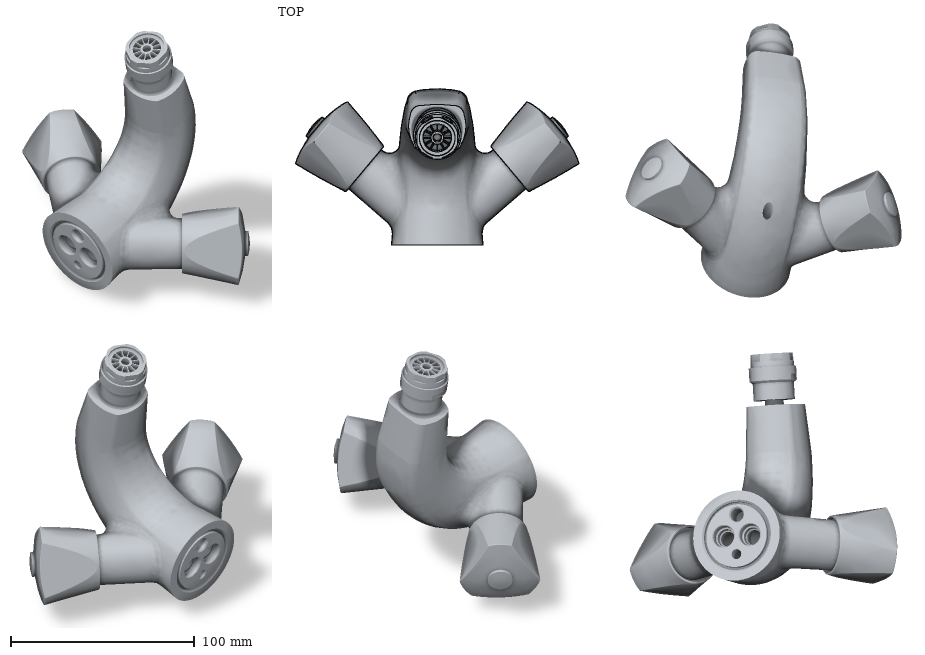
import cadquery as cq
import math

BASE_RADIUS = 25.0
BASE_LENGTH = 18.2
BEND_START_RADIUS = 23.4
BEND_RADIUS = 50.0
BEND_ANGLE = 100.0
BEND_STEPS = 5
BEND_END_SIZE = (17.4, 16.0)
TIP_SIZE = (15.7, 13.7)
TIP_LENGTH = 25.7
SPOUT_OUTLINE = [
    (0.0, 1.0), (0.36, 0.95), (0.70, 0.80),
    (0.77, 0.74), (0.82, 0.64),
    (0.99, -0.06), (0.93, -0.60),
    (0.83, -0.84), (0.67, -0.95),
    (0.34, -0.99), (0.0, -1.0),
]
ROUND_ANGLES = [0, 22, 44, 46, 48, 90, 132, 134, 136, 158, 180]

ARM_ANGLE = 40.0
ARM_START_Y = 8.3
ARM_START = 15.4
ARM_LENGTH = 36.0
ARM_INSERT = 6.2
ARM_ROOT_RADIUS = 14.5
ARM_END_RADIUS = 13.7
ARM_BLEND = 7.0
ARM_SEAM_X = (18.2, 24.6)
ARM_SEAM_Y = (1.5, 37.0)
KNOB_BACK_RADIUS = 16.2
KNOB_RIM_RADIUS = 22.6
KNOB_RIM_HEIGHT = 30.8
KNOB_CROWN_HEIGHT = 34.8
KNOB_FLAT_DISTANCE = 16.5
KNOB_FLAT_ANGLES = (30, 150, 270)
KNOB_EDGE_ROUND = 0.5
KNOB_RECESS_RADIUS = 15.1
KNOB_RECESS_DEPTH = 2.3
BUTTON_RADIUS = 6.8
BUTTON_EDGE_HEIGHT = 36.0
BUTTON_CROWN_HEIGHT = 37.0

GROOVE_INNER_RADIUS = 17.4
GROOVE_OUTER_RADIUS = 19.0
GROOVE_DEPTH = 2.3
GROOVE_CHAMFER = 1.0
INLET_X = 7.5
INLET_MOUTH_RADIUS = 6.0
INLET_MOUTH_DEPTH = 4.6
INLET_STEP_RADIUS = 5.0
INLET_STEP_DEPTH = 7.7
INLET_CHAMFER = 0.5
INLET_RADIUS = 4.0
PASSAGE_RADIUS = 4.6
PASSAGE_START = 6.2
PASSAGE_END = 46.2
SCREW_Z = 11.5
SCREW_RADIUS = 3.7
SCREW_DEPTH = 10.8
SCREW_CHAMFER = 0.8
SCREW_POINT_DEPTH = 2.2
VENT_Z = -10.3
VENT_RADIUS = 2.8

TIP_RECESS_RADIUS = 11.9
TIP_RECESS_DEPTH = 0.5
STUB_RADIUS = 5.1
AERATOR_BOTTOM = 3.1
AERATOR_RADIUS = 11.2
COLLAR_BOTTOM = 12.3
COLLAR_CHAMFER = 1.2
COLLAR_TOP = 21.0
COLLAR_RADIUS = 13.0
COLLAR_FLAT_DISTANCE = 12.0
COLLAR_FLAT_TOP = 16.8
CROWN_BASE_RADIUS = 12.0
AERATOR_TOP = 28.2
CROWN_TOP_RADIUS = 11.5
NOTCH_COUNT = 6
NOTCH_WIDTH = 6.5
NOTCH_HEIGHT = 4.0
NOTCH_FLOOR_DISTANCE = 11.0
OUTLET_RADIUS = 9.7
OUTLET_DEPTH = 1.2
GRILLE_OUTER_RADIUS = 7.7
GRILLE_DEPTH = 4.6
HUB_RADIUS = 3.5
HUB_BORE_RADIUS = 2.3
RIB_COUNT = 12
RIB_WIDTH = 0.5

tip_tilt = math.radians(BEND_ANGLE)
spout_axis = cq.Vector(0, math.cos(tip_tilt), math.sin(tip_tilt))


def bend_frame(angle):
    """Point on the centre line at an angle round the bend, and the direction to the bend centre."""
    a = math.radians(angle)
    inward = cq.Vector(0, -math.sin(a), math.cos(a))
    centre = cq.Vector(0, BASE_LENGTH, BEND_RADIUS) - inward * BEND_RADIUS
    return centre, inward


def section(centre, inward, half_width, half_depth, shaping):
    """Closed outline of eight arcs, from an ellipse (shaping 0) to the spout outline (1)."""
    right = []
    for angle, (x, y) in zip(ROUND_ANGLES, SPOUT_OUTLINE):
        a = math.radians(angle)
        right.append((
            half_width * (math.sin(a) * (1 - shaping) + x * shaping),
            half_depth * (math.cos(a) * (1 - shaping) + y * shaping),
        ))
    left = [(-x, y) for x, y in reversed(right[:-1])]
    points = [centre + cq.Vector(x, 0, 0) + inward * y for x, y in right + left]
    inner_face = [points[18], points[0], points[2]]
    back_face = [points[8], points[10], points[12]]
    right_arcs = [points[2:5], points[4:7], points[6:9]]
    left_arcs = [points[12:15], points[14:17], points[16:19]]
    arcs = [inner_face, *right_arcs, back_face, *left_arcs]
    return cq.Wire.assembleEdges([cq.Edge.makeThreePointArc(*arc) for arc in arcs])


def make_body():
    bend = []
    for step in range(BEND_STEPS + 1):
        part = step / BEND_STEPS
        half_width = BEND_START_RADIUS + (BEND_END_SIZE[0] - BEND_START_RADIUS) * part
        half_depth = BEND_START_RADIUS + (BEND_END_SIZE[1] - BEND_START_RADIUS) * part
        bend.append(section(*bend_frame(BEND_ANGLE * part), half_width, half_depth, part))
    base = section(cq.Vector(0, 0, 0), cq.Vector(0, 0, 1), BASE_RADIUS, BASE_RADIUS, 0)
    bend_end, inward = bend_frame(BEND_ANGLE)
    tip = section(bend_end + spout_axis * TIP_LENGTH, inward, *TIP_SIZE, 1)
    socket = cq.Solid.makeLoft([base, bend[0]], True)
    elbow = cq.Solid.makeLoft(bend)
    spout = cq.Solid.makeLoft([bend[-1], tip], True)
    return cq.Workplane(socket).union(cq.Workplane(elbow)).union(cq.Workplane(spout))


def arm_plane(distance):
    """Plane across the right arm, X horizontal and Z outwards, at a distance along its axis."""
    a = math.radians(ARM_ANGLE)
    axis = cq.Vector(math.cos(a), math.sin(a), 0)
    across = cq.Vector(-math.sin(a), math.cos(a), 0)
    return cq.Plane(cq.Vector(0, ARM_START_Y, 0) + axis * distance, across, axis)


def tip_plane():
    """Plane of the spout tip face, Z outwards along the spout axis."""
    return cq.Plane(bend_frame(BEND_ANGLE)[0] + spout_axis * TIP_LENGTH, (1, 0, 0), spout_axis)


def placed(part, plane):
    return part.newObject([part.val().moved(cq.Location(plane))])


def turned(profile):
    """Turn a closed (radius, height) profile about the Z axis."""
    return cq.Workplane("XZ").polyline(profile).close().revolve(360, (0, 0, 0), (0, 1, 0))


def ring(outer_radius, inner_radius, bottom, top):
    disc = cq.Workplane("XY").workplane(offset=bottom).circle(outer_radius)
    return disc.circle(inner_radius).extrude(top - bottom)


def rod(radius, bottom, top):
    return cq.Workplane("XY").workplane(offset=bottom).circle(radius).extrude(top - bottom)


def both_sides(part):
    return part.union(part.mirror("YZ"))


def make_arm():
    full_length = ARM_LENGTH + ARM_INSERT
    arm = turned([
        (0, 0), (ARM_ROOT_RADIUS, 0), (ARM_END_RADIUS, full_length), (0, full_length),
    ])
    return placed(arm, arm_plane(ARM_START))


def blend_arms(body):
    """Round the seams between the arms and the body."""
    near, far = ARM_SEAM_X
    front, back = ARM_SEAM_Y
    for start, end in ((near, far), (-far, -near)):
        seam_zone = cq.selectors.BoxSelector(
            (start, front, -ARM_END_RADIUS), (end, back, ARM_END_RADIUS)
        )
        body = body.edges(seam_zone).fillet(ARM_BLEND)
    return body


def domed(bottom_radius, rim_radius, rim_height, crown_height):
    """Cone or cylinder standing on Z = 0, closed by a spherical dome."""
    rise = crown_height - rim_height
    dome_radius = (rim_radius ** 2 + rise ** 2) / (2 * rise)
    halfway = rim_radius / 2
    halfway_height = crown_height - dome_radius + math.sqrt(dome_radius ** 2 - halfway ** 2)
    return (
        cq.Workplane("XZ")
        .lineTo(bottom_radius, 0)
        .lineTo(rim_radius, rim_height)
        .threePointArc((halfway, halfway_height), (0, crown_height))
        .close()
        .revolve(360, (0, 0, 0), (0, 1, 0))
    )


def make_knob():
    knob = domed(KNOB_BACK_RADIUS, KNOB_RIM_RADIUS, KNOB_RIM_HEIGHT, KNOB_CROWN_HEIGHT)
    size = 4 * KNOB_RIM_RADIUS
    for angle in KNOB_FLAT_ANGLES:
        waste = cq.Workplane("XY").box(size, size, size)
        waste = waste.translate((KNOB_FLAT_DISTANCE + size / 2, 0, 0))
        knob = knob.cut(waste.rotate((0, 0, 0), (0, 0, 1), angle))
    knob = knob.edges("not %LINE").fillet(KNOB_EDGE_ROUND)
    knob = knob.cut(ring(KNOB_RECESS_RADIUS, ARM_END_RADIUS, 0, KNOB_RECESS_DEPTH))
    button = domed(BUTTON_RADIUS, BUTTON_RADIUS, BUTTON_EDGE_HEIGHT, BUTTON_CROWN_HEIGHT)
    return placed(knob.union(button), arm_plane(ARM_START + ARM_LENGTH))


def drilled(x, z, profile):
    """Turned cutter entering the base face at (x, z), its height running along +Y."""
    return placed(turned(profile), cq.Plane((x, 0, z), (1, 0, 0), (0, 1, 0)))


def make_inlet():
    """Stepped and chamfered inlet hole that meets the passage along the right arm."""
    cross_depth = ARM_START_Y + INLET_X * math.tan(math.radians(ARM_ANGLE))
    hole = drilled(INLET_X, 0, [
        (0, 0), (INLET_MOUTH_RADIUS + INLET_CHAMFER, 0), (INLET_MOUTH_RADIUS, INLET_CHAMFER),
        (INLET_MOUTH_RADIUS, INLET_MOUTH_DEPTH), (INLET_STEP_RADIUS, INLET_MOUTH_DEPTH),
        (INLET_STEP_RADIUS, INLET_STEP_DEPTH), (INLET_RADIUS, INLET_STEP_DEPTH),
        (INLET_RADIUS, cross_depth), (0, cross_depth),
    ])
    return hole.union(placed(rod(PASSAGE_RADIUS, PASSAGE_START, PASSAGE_END), arm_plane(0)))


def cut_base_details(body):
    groove = drilled(0, 0, [
        (GROOVE_INNER_RADIUS, 0), (GROOVE_OUTER_RADIUS + GROOVE_CHAMFER, 0),
        (GROOVE_OUTER_RADIUS, GROOVE_CHAMFER), (GROOVE_OUTER_RADIUS, GROOVE_DEPTH),
        (GROOVE_INNER_RADIUS, GROOVE_DEPTH),
    ])
    screw_hole = drilled(0, SCREW_Z, [
        (0, 0), (SCREW_RADIUS + SCREW_CHAMFER, 0), (SCREW_RADIUS, SCREW_CHAMFER),
        (SCREW_RADIUS, SCREW_DEPTH), (0, SCREW_DEPTH + SCREW_POINT_DEPTH),
    ])
    through = BASE_LENGTH + 2 * BEND_RADIUS
    vent = drilled(0, VENT_Z, [(0, 0), (VENT_RADIUS, 0), (VENT_RADIUS, through), (0, through)])
    inlet = make_inlet()
    for cutter in (groove, screw_hole, vent, inlet, inlet.mirror("YZ")):
        body = body.cut(cutter)
    return body


def make_aerator():
    aerator = turned([
        (0, -TIP_RECESS_DEPTH), (STUB_RADIUS, -TIP_RECESS_DEPTH), (STUB_RADIUS, AERATOR_BOTTOM),
        (AERATOR_RADIUS, AERATOR_BOTTOM), (AERATOR_RADIUS, COLLAR_BOTTOM),
        (COLLAR_RADIUS, COLLAR_BOTTOM + COLLAR_CHAMFER), (COLLAR_RADIUS, COLLAR_TOP),
        (CROWN_BASE_RADIUS, COLLAR_TOP), (CROWN_TOP_RADIUS, AERATOR_TOP), (0, AERATOR_TOP),
    ])
    for side in (-1, 1):
        flat = cq.Workplane("XY").box(COLLAR_RADIUS, 2 * COLLAR_RADIUS, COLLAR_FLAT_TOP - COLLAR_BOTTOM)
        flat_x = COLLAR_FLAT_DISTANCE + COLLAR_RADIUS / 2
        aerator = aerator.cut(flat.translate((side * flat_x, 0, (COLLAR_FLAT_TOP + COLLAR_BOTTOM) / 2)))
    for index in range(NOTCH_COUNT):
        notch = cq.Workplane("XY").box(CROWN_BASE_RADIUS, NOTCH_WIDTH, NOTCH_HEIGHT)
        notch_x = NOTCH_FLOOR_DISTANCE + CROWN_BASE_RADIUS / 2
        notch = notch.translate((notch_x, 0, AERATOR_TOP - NOTCH_HEIGHT / 2))
        aerator = aerator.cut(notch.rotate((0, 0, 0), (0, 0, 1), index * 360 / NOTCH_COUNT))

    grille_top = AERATOR_TOP - OUTLET_DEPTH
    grille_floor = grille_top - GRILLE_DEPTH
    aerator = aerator.cut(rod(OUTLET_RADIUS, grille_top, AERATOR_TOP))
    aerator = aerator.cut(rod(HUB_BORE_RADIUS, grille_floor, grille_top))
    openings = ring(GRILLE_OUTER_RADIUS, HUB_RADIUS, grille_floor, grille_top)
    for index in range(RIB_COUNT):
        rib = cq.Workplane("XY").box(2 * GRILLE_OUTER_RADIUS, RIB_WIDTH, 2 * GRILLE_DEPTH)
        rib = rib.translate((GRILLE_OUTER_RADIUS, 0, grille_top))
        openings = openings.cut(rib.rotate((0, 0, 0), (0, 0, 1), index * 360 / RIB_COUNT))
    aerator = aerator.cut(openings)
    return placed(aerator, tip_plane())


body = make_body().union(both_sides(make_arm()))
body = blend_arms(body)
body = body.union(both_sides(make_knob()))
body = cut_base_details(body)
body = body.cut(placed(rod(TIP_RECESS_RADIUS, -TIP_RECESS_DEPTH, 0), tip_plane()))
result = body.union(make_aerator())